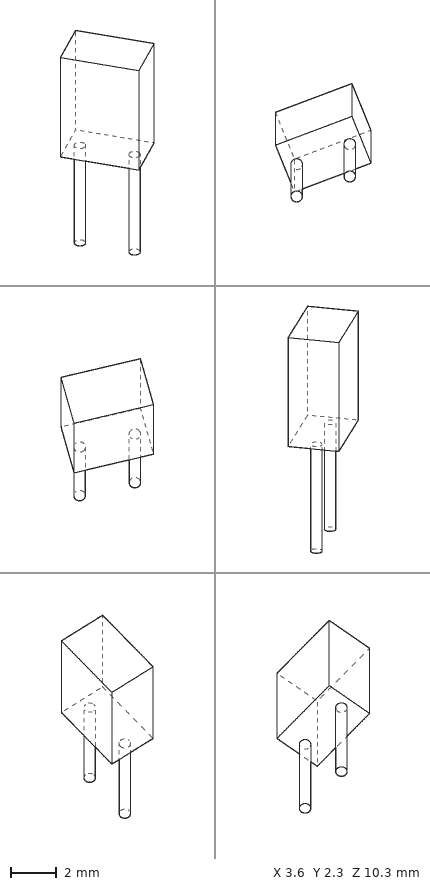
import cadquery as cq

total_height = 10.3

housing_width = 3.6
housing_depth = 2.3
housing_height = 5.2

lead_diameter = 0.5
lead_spacing = 2.5
lead_length = total_height - housing_height


def make_housing():
    """Plain block standing on the XY plane, centred on the Z axis."""
    return cq.Workplane("XY").box(
        housing_width, housing_depth, housing_height, centered=(True, True, False)
    )


def make_lead(x):
    """Straight round lead hanging from the housing's bottom face."""
    return cq.Workplane("XY").center(x, 0).circle(lead_diameter / 2).extrude(-lead_length)


housing = make_housing()
leads = [make_lead(side * lead_spacing / 2) for side in (-1, 1)]

result = cq.Compound.makeCompound([housing.val(), *[lead.val() for lead in leads]])